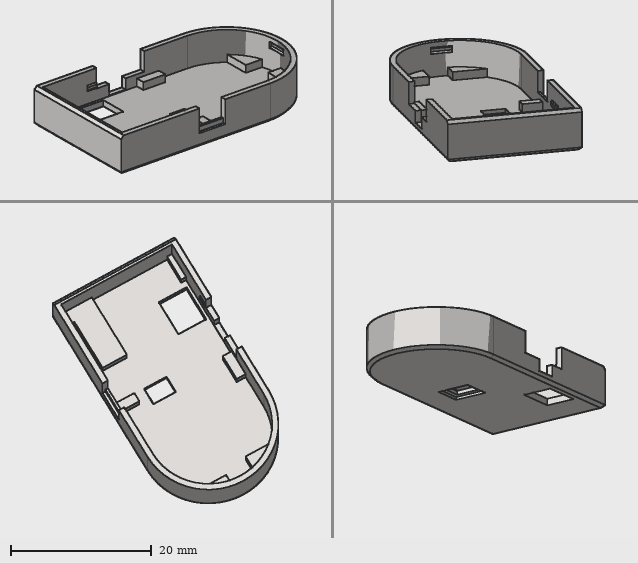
import cadquery as cq

length = 36.92
width = 19.95
height = 6.2
wall = 0.9
floor = 1.0
edge_chamfer = 0.48
nose_radius = width / 2
nose_center_y = length - nose_radius
inner_x = width / 2 - wall

support_top = 2.25
left_support_width = 1.48
left_support_y = (17.87, 21.85)
right_support_length = 3.03
right_support_y = (16.43, 17.87)
corner_strip_width = 0.8
corner_strip_end_y = 4.9
nose_left_pad_x = -2.85
nose_left_pad_y = 32.65
nose_right_pad_x = 0.95
nose_right_pad_y = 33.67
platform_x = (4.05, 8.05)
platform_end_y = 10.9
platform_foot_end_y = 2.88

small_window = ((0.63, 4.3), (16.17, 18.83))
large_window = ((-8.6, -4.05), (5.87, 11.45))
recess_margin = 0.75
recess_depth = 0.4

left_notch_y = (10.55, 19.2)
left_notch_z = 2.9
left_slot_y = (12.85, 15.85)
right_notch_y = (14.18, 18.83)
right_lip_z = 3.03
left_slot_z = 1.15
right_lip_x = 9.5

ridge_y = (8.9, 11.9)
ridge_z = (3.0, 3.95)
ridge_depth = 0.15
ridge_slope = 0.25
catch_width = 3.18
catch_z = (4.43, 5.4)
catch_depth = 0.25


def box(x_range, y_range, z_range):
    """Axis-aligned block given by its limits along each axis."""
    (x0, x1), (y0, y1), (z0, z1) = x_range, y_range, z_range
    return cq.Workplane("XY").box(x1 - x0, y1 - y0, z1 - z0, centered=False).translate((x0, y0, z0))


def arch(inset, z0, z1):
    """Solid with the arched plan outline, moved inwards by inset."""
    half = width / 2 - inset
    return (
        cq.Workplane("XY", origin=(0, 0, z0))
        .moveTo(-half, inset)
        .lineTo(half, inset)
        .lineTo(half, nose_center_y)
        .threePointArc((0, nose_center_y + half), (-half, nose_center_y))
        .close()
        .extrude(z1 - z0)
    )


def shell():
    """Arched tray, chamfered around its underside and along its straight front rim."""
    body = arch(0, 0, height)
    body = body.faces("<Z").edges().chamfer(edge_chamfer)
    body = body.faces(">Z").edges("<Y").chamfer(edge_chamfer)
    return body.cut(arch(wall, floor, height))


def supports():
    """Board supports, trimmed to the cavity outline."""
    z = (0, support_top)
    blocks = [
        box((-inner_x, -inner_x + left_support_width), left_support_y, z),
        box((inner_x - right_support_length, inner_x), right_support_y, z),
        box((-inner_x, -inner_x + corner_strip_width), (wall, corner_strip_end_y), z),
        box((-inner_x, nose_left_pad_x), (nose_left_pad_y, length), z),
        box((nose_right_pad_x, inner_x), (nose_right_pad_y, length), z),
        box(platform_x, (wall, platform_end_y), z),
        box((platform_x[1], inner_x), (wall, platform_foot_end_y), z),
    ]
    cavity = arch(wall, floor, height)
    merged = blocks[0]
    for block in blocks[1:]:
        merged = merged.union(block)
    return merged.intersect(cavity)


def ridge(side):
    """Snap ridge with sloped flanks on the wall at x = side * inner_x."""
    z0, z1 = ridge_z
    tip = inner_x - ridge_depth
    root = inner_x + wall / 2
    return (
        cq.Workplane("XZ", origin=(0, ridge_y[1], 0))
        .polyline(
            [
                (side * root, z0),
                (side * inner_x, z0),
                (side * tip, z0 + ridge_slope),
                (side * tip, z1 - ridge_slope),
                (side * inner_x, z1),
                (side * root, z1),
            ]
        )
        .close()
        .extrude(ridge_y[1] - ridge_y[0])
    )


def wall_openings():
    """Stepped notch in the left wall and a notch with a half-thickness lip in the right wall."""
    left_wall = (-width / 2, -inner_x)
    notch_x = (-width / 2, -inner_x + left_support_width)
    cuts = box(notch_x, left_notch_y, (left_notch_z, height))
    cuts = cuts.union(box(left_wall, left_slot_y, (left_slot_z, height)))
    cuts = cuts.union(box((inner_x, width / 2), right_notch_y, (right_lip_z, height)))
    cuts = cuts.union(box((right_lip_x, width / 2), right_notch_y, (support_top, height)))
    return cuts


def catch():
    """Snap groove in the nose wall, with 45 degree flanks running down to its flat bottom."""
    z0, z1 = catch_z
    mouth_y = nose_center_y + inner_x
    bottom_y = mouth_y + catch_depth
    return (
        cq.Workplane("YZ", origin=(-catch_width / 2, 0, 0))
        .polyline(
            [
                (mouth_y - wall, z0),
                (mouth_y, z0),
                (bottom_y, z0 + catch_depth),
                (bottom_y, z1 - catch_depth),
                (mouth_y, z1),
                (mouth_y - wall, z1),
            ]
        )
        .close()
        .extrude(catch_width)
    )


def underside_recess():
    """Shallow pocket under the small window that thins the floor around it."""
    (x0, x1), (y0, y1) = small_window
    return box(
        (x0 - recess_margin, x1 + recess_margin),
        (y0 - recess_margin, y1 + recess_margin),
        (0, recess_depth),
    )


result = shell().union(supports()).union(ridge(1)).union(ridge(-1))
result = result.cut(wall_openings()).cut(catch()).cut(underside_recess())
for window_x, window_y in (small_window, large_window):
    result = result.cut(box(window_x, window_y, (0, floor)))